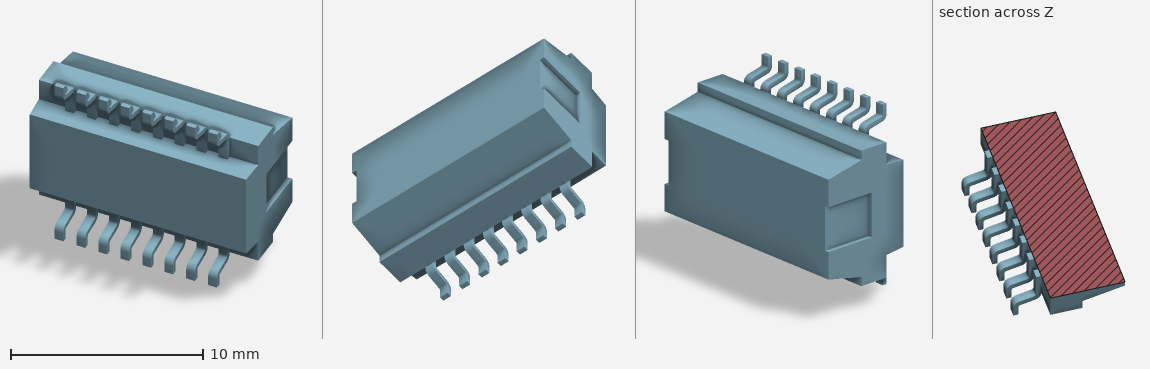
import cadquery as cq
import math

length = 12.7
overall_depth = 5.59
overall_height = 10.16

body_depth = 4.06
body_height = 7.62
flange_rear = 2.31
rear_height = 5.61
shoulder_height = 6.58

nose_depth = 1.27
nose_height = 5.08
nose_inset = 0.09

recess_depth = 0.28
recess_length = 3.05
recess_height = 2.51

lead_count = 8
lead_pitch = 1.27
lead_width = 0.51
lead_thickness = 0.28
lead_bend_start = 3.84
bend_inner_radius = 0.13
bend_outer_radius = bend_inner_radius + lead_thickness
bend_angle = 78.0


def make_body():
    """Stepped housing profile, extruded along the full length."""
    upper = [
        (0, rear_height / 2),
        (-flange_rear, shoulder_height / 2),
        (-flange_rear, body_height / 2),
        (-body_depth, body_height / 2),
    ]
    lower = [(y, -z) for y, z in reversed(upper)]
    return cq.Workplane("YZ").polyline(upper + lower).close().extrude(length / 2, both=True)


def make_nose():
    """Rectangular frustum whose four sides lean in equally."""
    return (
        cq.Workplane("XZ", origin=(0, -body_depth, 0))
        .rect(length, nose_height)
        .workplane(offset=nose_depth)
        .rect(length - 2 * nose_inset, nose_height - 2 * nose_inset)
        .loft(ruled=True)
    )


def make_recess(side):
    """Cutter for the recess in the end at side = -1 or +1 along X.

    The box is centered on the rear edge of the end, so only half of its width and depth cuts.
    """
    cutter = cq.Workplane("XY").box(2 * recess_depth, 2 * recess_length, recess_height)
    return cutter.translate((side * length / 2, 0, 0))


def bend_point(center, radius, degrees):
    """Point in the YZ plane at an angle from +Y about a bend center."""
    angle = math.radians(degrees)
    return (center[0] + radius * math.cos(angle), center[1] + radius * math.sin(angle))


def make_lead():
    """Upper lead centered on X = 0: root, two equal and opposite bends, foot."""
    root_z = nose_height / 2
    root_back = -body_depth
    root_front = root_back - lead_thickness
    foot_front = -overall_depth
    foot_back = foot_front + lead_thickness
    foot_tip = overall_height / 2

    mid_radius = bend_inner_radius + lead_thickness / 2
    turn = math.radians(bend_angle)
    forward_travel = root_back - foot_back
    slope_travel = forward_travel - 2 * mid_radius * (1 - math.cos(turn))
    rise = 2 * mid_radius * math.sin(turn) + slope_travel / math.tan(turn)
    root_bend = (root_back - bend_outer_radius, lead_bend_start)
    foot_bend = (foot_front + bend_outer_radius, lead_bend_start + rise)

    return (
        cq.Workplane("YZ")
        .moveTo(root_back, root_z)
        .lineTo(root_back, lead_bend_start)
        .threePointArc(
            bend_point(root_bend, bend_outer_radius, bend_angle / 2),
            bend_point(root_bend, bend_outer_radius, bend_angle),
        )
        .lineTo(*bend_point(foot_bend, bend_inner_radius, 180 + bend_angle))
        .threePointArc(
            bend_point(foot_bend, bend_inner_radius, 180 + bend_angle / 2),
            bend_point(foot_bend, bend_inner_radius, 180),
        )
        .lineTo(foot_back, foot_tip)
        .lineTo(foot_front, foot_tip)
        .lineTo(*bend_point(foot_bend, bend_outer_radius, 180))
        .threePointArc(
            bend_point(foot_bend, bend_outer_radius, 180 + bend_angle / 2),
            bend_point(foot_bend, bend_outer_radius, 180 + bend_angle),
        )
        .lineTo(*bend_point(root_bend, bend_inner_radius, bend_angle))
        .threePointArc(
            bend_point(root_bend, bend_inner_radius, bend_angle / 2),
            bend_point(root_bend, bend_inner_radius, 0),
        )
        .lineTo(root_front, root_z)
        .close()
        .extrude(lead_width / 2, both=True)
    )


result = make_body().union(make_nose())

for end in (-1, 1):
    result = result.cut(make_recess(end))

upper_lead = make_lead()
lower_lead = upper_lead.mirror("XY")
for index in range(lead_count):
    lead_x = (index - (lead_count - 1) / 2) * lead_pitch
    for lead in (upper_lead, lower_lead):
        result = result.union(lead.translate((lead_x, 0, 0)))